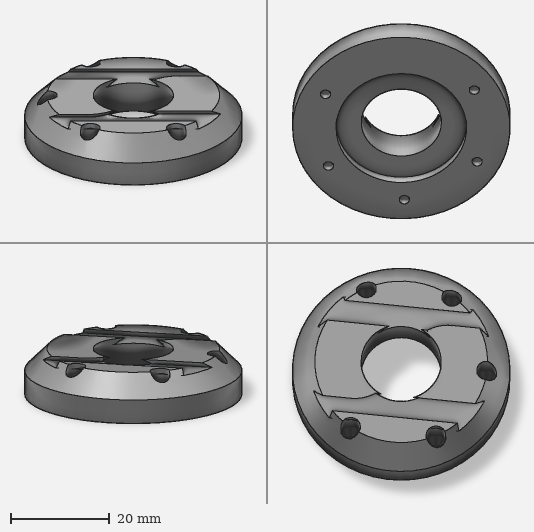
import cadquery as cq
import math

outer_diameter = 44.0
height = 9.5
rim_chamfer = 4.55
bore_diameter = 16.2

recess_diameter = 26.4
recess_depth = 2.0

screw_circle_radius = 17.38
screw_angles = (0, 120, 180, 240, 300)
screw_diameter = 2.02
head_diameter = 3.95
head_depth = 5.0
head_cone_depth = 3.1

slot_angle = 60
slot_depth = 1.2
flank_angle = 45
slot_outer_edge = 12.0
slot_wide_edge = 7.4
slot_narrow_edge = 8.95
slot_half_length = 26.4
neck_start = 4.5
neck_radius = 17.0 / 2
neck_angle = math.radians(30)


def ring_body():
    """Disc with a 45 degree chamfered upper rim and a central bore."""
    disc = cq.Workplane("XY").circle(outer_diameter / 2).extrude(height)
    return disc.faces(">Z").chamfer(rim_chamfer).faces(">Z").workplane().hole(bore_diameter)


def underside_recess():
    """Shallow cylinder that opens the bore out below."""
    return cq.Workplane("XY").circle(recess_diameter / 2).extrude(recess_depth)


def dovetail_slot():
    """Undercut slot along X that narrows through a short ramp and a tangent arc."""
    arc_drop = neck_radius * (1 - math.cos(neck_angle))
    ramp_rise = slot_narrow_edge - slot_wide_edge - arc_drop
    ramp_end = neck_start + ramp_rise / math.tan(neck_angle)
    neck_end = ramp_end + neck_radius * math.sin(neck_angle)
    arc_centre_y = slot_narrow_edge - neck_radius
    arc_middle = (
        neck_end - neck_radius * math.sin(neck_angle / 2),
        arc_centre_y + neck_radius * math.cos(neck_angle / 2),
    )
    return (
        cq.Workplane("XY")
        .moveTo(-slot_half_length, slot_outer_edge)
        .lineTo(-slot_half_length, slot_wide_edge)
        .lineTo(neck_start, slot_wide_edge)
        .lineTo(ramp_end, slot_wide_edge + ramp_rise)
        .threePointArc(arc_middle, (neck_end, slot_narrow_edge))
        .lineTo(slot_half_length, slot_narrow_edge)
        .lineTo(slot_half_length, slot_outer_edge)
        .close()
        .extrude(-slot_depth, taper=-flank_angle)
        .translate((0, 0, height))
    )


def screw_hole():
    """Through hole with a deep head recess that ends in a cone."""
    head_floor = height - head_depth
    return (
        cq.Workplane("XZ")
        .lineTo(screw_diameter / 2, 0)
        .lineTo(screw_diameter / 2, head_floor - head_cone_depth)
        .lineTo(head_diameter / 2, head_floor)
        .lineTo(head_diameter / 2, height)
        .lineTo(0, height)
        .close()
        .revolve(360, (0, 0), (0, 1))
        .translate((screw_circle_radius, 0, 0))
    )


def turned(shape, angle):
    """Rotate a shape about the ring's axis."""
    return shape.rotate((0, 0, 0), (0, 0, 1), angle)


result = ring_body().cut(underside_recess())
for angle in (slot_angle, slot_angle + 180):
    result = result.cut(turned(dovetail_slot(), angle))
for angle in screw_angles:
    result = result.cut(turned(screw_hole(), angle))